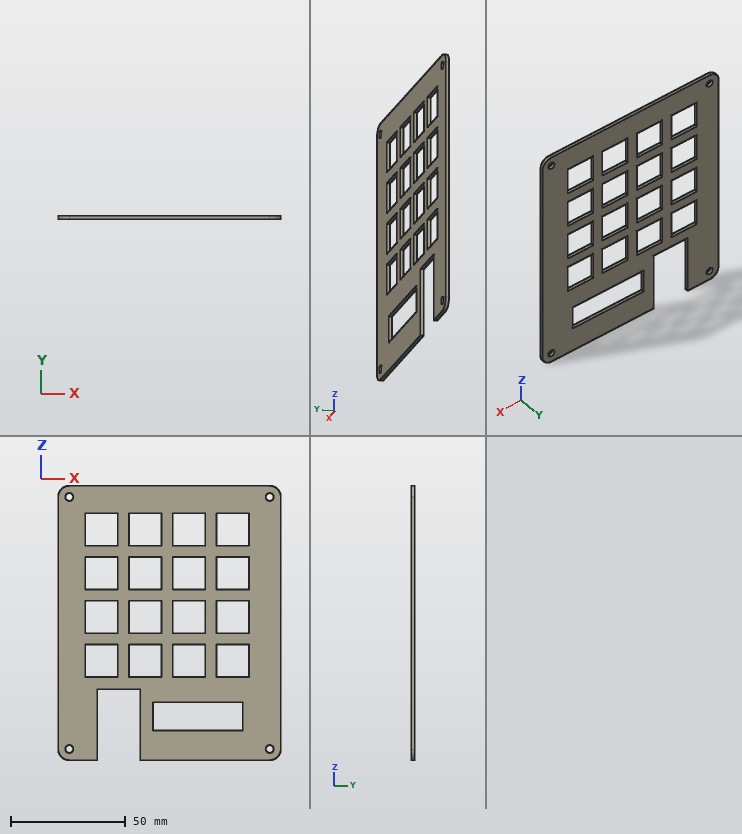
import cadquery as cq

width = 97.2
height = 119.7
thickness = 1.5
corner_radius = 4.9

mount_hole_inset = corner_radius
mount_hole_diameter = 3.4

key_count = 4
key_opening = 14.0
key_grid_span = 71.2
key_pitch = (key_grid_span - key_opening) / (key_count - 1)
first_key_left = 12.0
top_key_margin = 12.1

window_left = 41.4
window_bottom = 13.0
window_width = 39.0
window_height = 12.2

notch_left = 17.1
notch_width = 18.7
notch_height = 30.9


def block(left, bottom, size_x, size_z):
    """Box through the full plate thickness, placed by its lower left corner."""
    return cq.Workplane("XY").box(size_x, thickness, size_z, centered=False).translate((left, 0, bottom))


def mounting_holes():
    x_places = (mount_hole_inset, width - mount_hole_inset)
    z_places = (mount_hole_inset, height - mount_hole_inset)
    centers = [(x, z) for x in x_places for z in z_places]
    return cq.Workplane("XZ").pushPoints(centers).circle(mount_hole_diameter / 2).extrude(-thickness)


def make_plate():
    plate = block(0, 0, width, height).edges("|Y").fillet(corner_radius)
    plate = plate.cut(mounting_holes())

    first_key_bottom = height - top_key_margin - key_opening
    for column in range(key_count):
        for row in range(key_count):
            left = first_key_left + column * key_pitch
            bottom = first_key_bottom - row * key_pitch
            plate = plate.cut(block(left, bottom, key_opening, key_opening))

    plate = plate.cut(block(window_left, window_bottom, window_width, window_height))
    return plate.cut(block(notch_left, 0, notch_width, notch_height))


plate = make_plate()

result = cq.Compound.makeCompound([plate.val()])